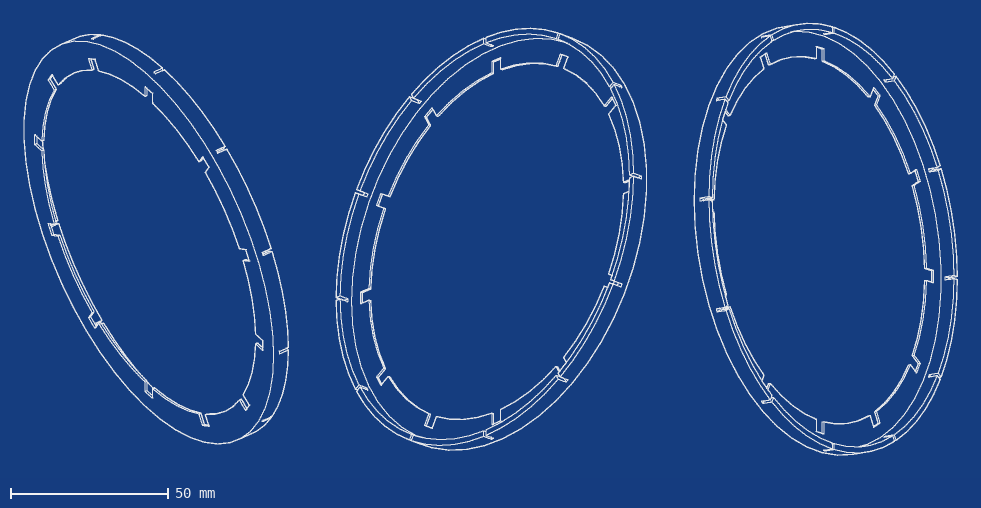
import cadquery as cq

outer_diameter = 138.0
depth = 5.8
bore_diameter = 118.0
flange_thickness = 0.8
wall_thickness = 2.0

station_count = 12
notch_width = 4.0
notch_tip_radius = 62.9
slot_width = 1.0
slot_depth = 3.5

outer_radius = outer_diameter / 2
rim_inner_radius = outer_radius - wall_thickness
bore_radius = bore_diameter / 2
front_y = -depth / 2
rear_y = depth / 2
cut_overlap = 1.4


def ring(outer, inner, start_y, thickness):
    """Flat ring around the Y axis, extending from start_y toward +Y."""
    return (
        cq.Workplane("XZ", origin=(0, start_y, 0))
        .circle(outer)
        .circle(inner)
        .extrude(-thickness)
    )


def radial_cutter(width, inner, outer, start_y, end_y):
    """Block centred on the +Z direction, spanning two radii and a range in Y."""
    return cq.Workplane("XY").box(width, end_y - start_y, outer - inner).translate(
        (0, (start_y + end_y) / 2, (inner + outer) / 2)
    )


def cut_at_stations(body, cutter):
    """Repeat a cutter around the Y axis and remove every copy."""
    for index in range(station_count):
        angle = index * 360 / station_count
        body = body.cut(cutter.rotate((0, 0, 0), (0, 1, 0), angle))
    return body


flange = ring(outer_radius, bore_radius, front_y, flange_thickness)
rim = ring(outer_radius, rim_inner_radius, front_y, depth)
body = flange.union(rim)

notch = radial_cutter(
    notch_width,
    bore_radius - cut_overlap,
    notch_tip_radius,
    front_y - cut_overlap,
    front_y + flange_thickness + cut_overlap,
)
body = cut_at_stations(body, notch)

slot = radial_cutter(
    slot_width,
    rim_inner_radius - cut_overlap,
    outer_radius + cut_overlap,
    rear_y - slot_depth,
    rear_y + cut_overlap,
)
result = cut_at_stations(body, slot)